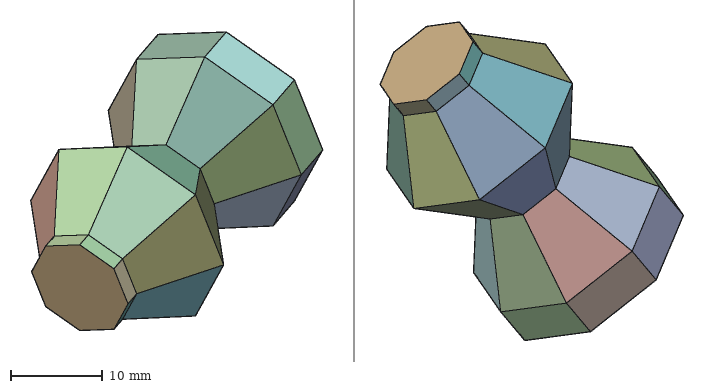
import cadquery as cq

SIDES = 8
WIDE_DIAMETER = 24.0
NARROW_DIAMETER = 12.0
BASE_LENGTH = 5.0
TAPER_LENGTH = 9.0
TIP_LENGTH = 2.0

SECTIONS = [
    (BASE_LENGTH, WIDE_DIAMETER, WIDE_DIAMETER),
    (TAPER_LENGTH, WIDE_DIAMETER, NARROW_DIAMETER),
    (TAPER_LENGTH, NARROW_DIAMETER, WIDE_DIAMETER),
    (TAPER_LENGTH, WIDE_DIAMETER, NARROW_DIAMETER),
    (TIP_LENGTH, NARROW_DIAMETER, NARROW_DIAMETER),
]


def octagonal_section(offset, length, start_diameter, end_diameter):
    """Straight or tapered octagonal section starting `offset` from the base."""
    return (
        cq.Workplane("XZ")
        .workplane(offset=offset)
        .polygon(SIDES, start_diameter)
        .workplane(offset=length)
        .polygon(SIDES, end_diameter)
        .loft(ruled=True, combine=True)
    )


def stacked_sections():
    """All sections joined end to end into one body."""
    body = cq.Workplane("XZ")
    offset = 0.0
    for length, start_diameter, end_diameter in SECTIONS:
        body = body.add(octagonal_section(offset, length, start_diameter, end_diameter))
        offset += length
    return body.combine()


result = stacked_sections()